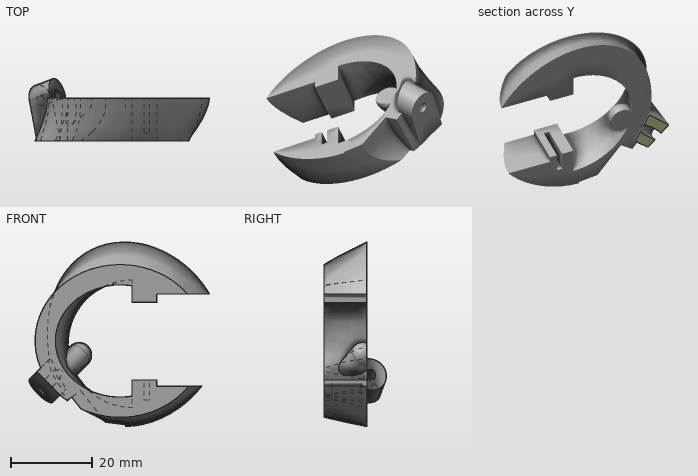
import math

import cadquery as cq

DEPTH = 10.5
WALL = 5.0
FRONT_HALF_WIDTH = 20.9
FRONT_HALF_HEIGHT = 18.7
REAR_CENTRE_X = 2.7
REAR_CENTRE_Z = 1.65
REAR_RADIUS = 21.9
OVAL = 0.7
EGG = 0.65
BORE_REAR_RADIUS = 15.65
BORE_REAR_X = 2.9
BORE_REAR_Z = -0.7
HEIGHT_EASING = 0.9
OUTLINE_POINTS = 16
SECTIONS = 4

OPENING_TOP = 11.45
OPENING_BOTTOM = -11.05
JAW_LEFT = 2.85
JAW_RIGHT = 9.0
JAW_TOP = 9.42
JAW_BOTTOM = -9.5
FAR = 67.95

SLOT_LEFT = 5.8
SLOT_WIDTH = 1.4
SLOT_DEPTH = 5.0
SLOT_FRONT_WALL = 2.0

LUG_ANGLE = 45.0
LUG_LEAN = 15.0
LUG_RADIUS = 4.05
LUG_TAIL = 34.0
LUG_LONG_SIDE = 7.25
LUG_SHORT_SIDE = 4.6
LUG_FACE = 19.75
LUG_SIDE = -5.07
PIN_Y = 9.9
PIN_DIAMETER = 2.55

RELIEF_ANGLE = 38.4
RELIEF_START = 3.45
RELIEF_LENGTH = 13.5
RELIEF_FRONT = 17.9
RELIEF_REAR = 15.2
RELIEF_FLAT = 2.25
TRIM_RIGHT = 1.3
TRIM_LEFT = -3.62
TRIM_RIGHT_Z = -20.55
TRIM_LEFT_Z = -19.95
TRIM_WIDTH = 3.25

KNOB_RADIUS = 3.1
KNOB_BASE = 17.2
KNOB_TIP = 6.5
KNOB_BASE_Y = 5.0
KNOB_TIP_Y = 9.5
KNOB_SIDE = -4.65


def outer_rear(angle):
    """Point (X, Z) of the outer outline on the rear face."""
    radius = REAR_RADIUS - OVAL * math.cos(2 * angle) + EGG * math.cos(3 * angle)
    return REAR_CENTRE_X + radius * math.cos(angle), REAR_CENTRE_Z + radius * math.sin(angle)


def bore_rear(angle):
    """Point (X, Z) of the bore outline on the rear face."""
    return BORE_REAR_X + BORE_REAR_RADIUS * math.cos(angle), BORE_REAR_Z + BORE_REAR_RADIUS * math.sin(angle)


def flared_body(half_width, half_height, rear_outline):
    """Solid from an elliptic front outline to the rear outline; its X drift dies out at the rear."""
    wires = []
    for section in range(SECTIONS):
        share = section / (SECTIONS - 1)
        blend_x = math.sin(share * math.pi / 2)
        blend_z = share**HEIGHT_EASING
        points = []
        for index in range(OUTLINE_POINTS):
            angle = 2 * math.pi * index / OUTLINE_POINTS
            rear_x, rear_z = rear_outline(angle)
            x = half_width * math.cos(angle) * (1 - blend_x) + rear_x * blend_x
            z = half_height * math.sin(angle) * (1 - blend_z) + rear_z * blend_z
            points.append(cq.Vector(x, share * DEPTH, z))
        wires.append(cq.Wire.assembleEdges([cq.Edge.makeSpline(points, periodic=True)]))
    return cq.Workplane(obj=cq.Solid.makeLoft(wires))


def block(x_min, x_max, y_min, y_max, z_min, z_max):
    size = (x_max - x_min, y_max - y_min, z_max - z_min)
    return cq.Workplane().box(*size, centered=False).translate((x_min, y_min, z_min))


def radial(angle):
    """Direction pointing to the lower left, the angle below -X."""
    return cq.Vector(-math.cos(math.radians(angle)), 0, -math.sin(math.radians(angle)))


def tangential(angle):
    """Direction square to the radial one, pointing to the lower right."""
    return cq.Vector(math.sin(math.radians(angle)), 0, -math.cos(math.radians(angle)))


outward = radial(LUG_ANGLE)
across = tangential(LUG_ANGLE)
rearward = cq.Vector(0, 1, 0)
lean = math.radians(LUG_LEAN)


def lug_plane():
    """Outer face of the lug: X runs across, Y toward the front, the origin is the pin."""
    distance = LUG_FACE + PIN_Y * math.tan(lean)
    origin = outward * distance + across * LUG_SIDE + rearward * PIN_Y
    normal = outward * math.cos(lean) - rearward * math.sin(lean)
    return cq.Plane(origin=origin.toTuple(), xDir=across.toTuple(), normal=normal.toTuple())


def lug():
    """Plate with a rounded rear end, its inner side cut askew and its front trimmed flush."""
    plate = (
        cq.Workplane(lug_plane())
        .moveTo(-LUG_RADIUS, 0)
        .lineTo(-LUG_RADIUS, LUG_TAIL)
        .lineTo(LUG_RADIUS, LUG_TAIL)
        .lineTo(LUG_RADIUS, 0)
        .threePointArc((0, -LUG_RADIUS), (-LUG_RADIUS, 0))
        .close()
        .extrude(-LUG_LONG_SIDE)
    )
    skew = (
        cq.Workplane(lug_plane())
        .transformed(rotate=(90, 0, 0))
        .polyline([
            (-LUG_RADIUS, -LUG_LONG_SIDE),
            (LUG_RADIUS, -LUG_SHORT_SIDE),
            (LUG_RADIUS, -LUG_LONG_SIDE),
        ])
        .close()
        .extrude(LUG_TAIL, both=True)
    )
    return plate.cut(skew).intersect(block(-FAR, FAR, 0, FAR, -FAR, FAR))


def pin_hole():
    return cq.Workplane(lug_plane()).circle(PIN_DIAMETER / 2).extrude(-LUG_LONG_SIDE)


def relief():
    """Cut whose floor is curved at the front and flat toward the rear."""
    along = tangential(RELIEF_ANGLE)
    plane = cq.Plane(
        origin=(along * RELIEF_START).toTuple(),
        xDir=radial(RELIEF_ANGLE).toTuple(),
        normal=along.toTuple(),
    )
    drop = RELIEF_FRONT - RELIEF_REAR
    run = DEPTH - RELIEF_FLAT
    radius = (run**2 + drop**2) / (2 * drop)
    half = math.asin(run / radius) / 2
    middle = (RELIEF_REAR + radius * (1 - math.cos(half)), run - radius * math.sin(half))
    return (
        cq.Workplane(plane)
        .moveTo(RELIEF_FRONT, 0)
        .threePointArc(middle, (RELIEF_REAR, run))
        .lineTo(RELIEF_REAR, DEPTH)
        .lineTo(FAR, DEPTH)
        .lineTo(FAR, 0)
        .close()
        .extrude(RELIEF_LENGTH)
    )


def rear_trim():
    """Shallow flat on the underside at the rear edge."""
    return (
        cq.Workplane("XZ", origin=(0, DEPTH, 0))
        .polyline([
            (TRIM_LEFT, TRIM_LEFT_Z),
            (TRIM_RIGHT, TRIM_RIGHT_Z),
            (TRIM_RIGHT, -FAR),
            (TRIM_LEFT, -FAR),
        ])
        .close()
        .extrude(TRIM_WIDTH)
    )


def knob():
    """Round bar with a domed tip, pointing from the wall toward the ring axis."""
    base = outward * KNOB_BASE + across * KNOB_SIDE + rearward * KNOB_BASE_Y
    tip_centre = outward * (KNOB_TIP + KNOB_RADIUS) + across * KNOB_SIDE + rearward * KNOB_TIP_Y
    axis = tip_centre - base
    bar = cq.Workplane(obj=cq.Solid.makeCylinder(KNOB_RADIUS, axis.Length, base, axis))
    return bar.union(cq.Workplane().sphere(KNOB_RADIUS).translate(tip_centre.toTuple()))


outer = flared_body(FRONT_HALF_WIDTH, FRONT_HALF_HEIGHT, outer_rear)
bore = flared_body(FRONT_HALF_WIDTH - WALL, FRONT_HALF_HEIGHT - WALL, bore_rear)
bore = bore.intersect(block(-FAR, JAW_LEFT, 0, DEPTH, -FAR, FAR))
opening = block(JAW_RIGHT, FAR, 0, DEPTH, OPENING_BOTTOM, OPENING_TOP)
jaw_gap = block(JAW_LEFT, JAW_RIGHT, 0, DEPTH, JAW_BOTTOM, JAW_TOP)
slot = block(
    SLOT_LEFT, SLOT_LEFT + SLOT_WIDTH, SLOT_FRONT_WALL, DEPTH, JAW_BOTTOM - SLOT_DEPTH, JAW_BOTTOM
)
knob_inside = knob().intersect(outer)

result = outer.cut(relief()).union(lug()).cut(bore).union(knob_inside)
result = result.cut(opening).cut(jaw_gap).cut(slot).cut(pin_hole()).cut(rear_trim())